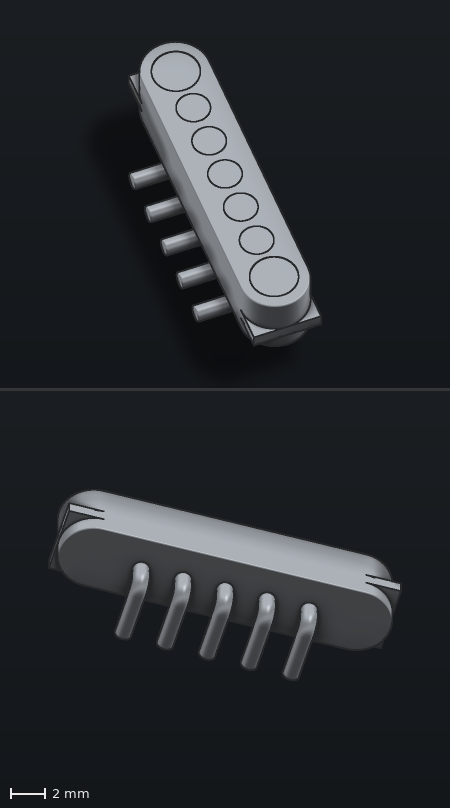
import cadquery as cq

overall_depth = 5.95
overall_height = 5.9

length = 20.08
height = 4.0
width = 4.2
edge_round = 0.1

tab_bottom = 1.0
tab_thickness = 0.8

magnet_diameter = 2.85
magnet_spacing = 15.75
magnet_depth = 3.01
magnet_edge_round = 0.05

pin_count = 5
pin_row_length = 10.16
pin_pitch = pin_row_length / (pin_count - 1)
head_diameter = 2.0
head_depth = 2.0
pin_diameter = 1.0
tail_bottom = height - overall_height
tail_axis_z = tail_bottom + pin_diameter / 2
tail_tip_y = width / 2 - overall_depth
bend_radius = 0.7
tip_round = 0.1

pin_positions = [index * pin_pitch - pin_row_length / 2 for index in range(pin_count)]
magnet_positions = [-magnet_spacing / 2, magnet_spacing / 2]


def top_cylinder(x, diameter, depth):
    """Upright cylinder sunk to a depth below the housing top face."""
    return cq.Workplane("XY", origin=(x, 0, height)).circle(diameter / 2).extrude(-depth)


def make_magnet(x):
    """Upright disc magnet with a small fillet around its top edge."""
    disc = top_cylinder(x, magnet_diameter, magnet_depth)
    return disc.faces(">Z").edges().fillet(magnet_edge_round)


def make_pin(x):
    """Contact head at the top, shank down through the housing, tail bent towards -Y."""
    head = top_cylinder(x, head_diameter, head_depth)
    wire_start_z = height - head_depth
    bend_top_z = tail_axis_z + bend_radius
    wire_path = (
        cq.Workplane("YZ", origin=(x, 0, 0))
        .moveTo(0, wire_start_z)
        .lineTo(0, bend_top_z)
        .radiusArc((-bend_radius, tail_axis_z), bend_radius)
        .lineTo(tail_tip_y, tail_axis_z)
    )
    wire = cq.Workplane("XY", origin=(x, 0, wire_start_z)).circle(pin_diameter / 2).sweep(wire_path)
    wire = wire.faces("<Y").edges().fillet(tip_round)
    return head.union(wire)


def make_pin_hole(x):
    """Stepped hole for the head and shank of one pin."""
    head_hole = top_cylinder(x, head_diameter, head_depth)
    shank_hole = top_cylinder(x, pin_diameter, height)
    return head_hole.union(shank_hole)


def make_housing():
    """Round-ended bar with square end tabs, pockets for the magnets and stepped holes for the pins."""
    body = cq.Workplane("XY").slot2D(length, width).extrude(height)
    body = body.faces("<Z or >Z").edges().fillet(edge_round)
    tab_plate = cq.Workplane("XY", origin=(0, 0, tab_bottom)).rect(length, width).extrude(tab_thickness)
    body = body.union(tab_plate)
    for x in magnet_positions:
        body = body.cut(top_cylinder(x, magnet_diameter, magnet_depth))
    for x in pin_positions:
        body = body.cut(make_pin_hole(x))
    return body


housing = make_housing()
magnets = [make_magnet(x) for x in magnet_positions]
pins = [make_pin(x) for x in pin_positions]

result = cq.Compound.makeCompound(
    [housing.val(), *[magnet.val() for magnet in magnets], *[pin.val() for pin in pins]]
)